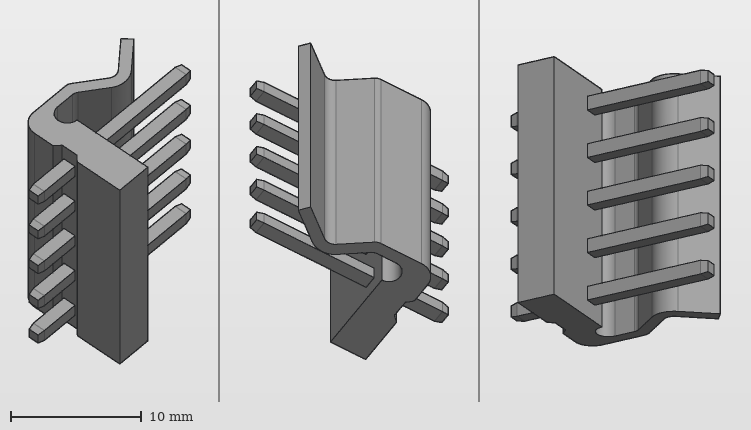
import cadquery as cq
import math


pin_count = 5
pitch = 3.96
height = pin_count * pitch
base_depth = 3.2
base_right = 5.62
corner_radius = 1.53

groove_depth = 0.5
groove_floor_half_width = 0.77
groove_mouth_half_width = 1.25

latch_thickness = 1.0
wall_center_x = -4.16
elbow = (wall_center_x, 5.33)
knee = (-1.70, 8.6)
tip = (-4.40, 11.99)
elbow_radius = 0.8
knee_inner_radius = 0.86
knee_outer_radius = knee_inner_radius + latch_thickness
root_radius = 1.0

pin_width = 1.14
pin_front = -3.6
pin_back = 13.8
pin_tip_width = 0.92
pin_tip_length = 0.6


def direction(start, end):
    """Unit vector from start to end."""
    return (cq.Vector(*end) - cq.Vector(*start)).normalized()


def left_normal(vector):
    """The vector turned a quarter turn to the left."""
    return cq.Vector(-vector.y, vector.x)


def mitre(before, point, after, offset):
    """Corner of the strip edge that runs at the given offset left of a bent centreline."""
    normal_in = left_normal(direction(before, point))
    normal_out = left_normal(direction(point, after))
    shift = (normal_in + normal_out) * (offset / (1 + normal_in.dot(normal_out)))
    return (point[0] + shift.x, point[1] + shift.y)


def rounded_outline(corners):
    """Closed wire through (point, radius) corners; a zero radius leaves the corner sharp."""
    outline = cq.Workplane("XY").moveTo(*corners[0][0])
    for index in range(1, len(corners)):
        point, radius = corners[index]
        if radius == 0:
            outline = outline.lineTo(*point)
            continue
        vertex = cq.Vector(*point)
        to_before = direction(point, corners[index - 1][0])
        to_after = direction(point, corners[(index + 1) % len(corners)][0])
        half_angle = to_before.getAngle(to_after) / 2
        tangent_length = radius / math.tan(half_angle)
        bisector = (to_before + to_after).normalized()
        arc_start = vertex + to_before * tangent_length
        arc_middle = vertex + bisector * (radius / math.sin(half_angle) - radius)
        arc_end = vertex + to_after * tangent_length
        outline = outline.lineTo(arc_start.x, arc_start.y)
        outline = outline.threePointArc((arc_middle.x, arc_middle.y), (arc_end.x, arc_end.y))
    return outline.close()


def make_housing():
    """Base block and latch as one extruded profile, with the round relief at the latch root."""
    half = latch_thickness / 2
    wall_outer_x = wall_center_x - half
    wall_inner_x = wall_center_x + half
    wall_foot = (wall_center_x, 0)
    tip_shift = left_normal(direction(knee, tip)) * half
    corners = [
        ((base_right, 0), 0),
        ((groove_mouth_half_width, 0), 0),
        ((groove_floor_half_width, groove_depth), 0),
        ((-groove_floor_half_width, groove_depth), 0),
        ((-groove_mouth_half_width, 0), 0),
        ((wall_outer_x, 0), corner_radius),
        (mitre(wall_foot, elbow, knee, half), elbow_radius),
        (mitre(elbow, knee, tip, half), knee_inner_radius),
        ((tip[0] + tip_shift.x, tip[1] + tip_shift.y), 0),
        ((tip[0] - tip_shift.x, tip[1] - tip_shift.y), 0),
        (mitre(elbow, knee, tip, -half), knee_outer_radius),
        (mitre(wall_foot, elbow, knee, -half), elbow_radius),
        ((wall_inner_x, base_depth), 0),
        ((base_right, base_depth), 0),
    ]
    housing = rounded_outline(corners).extrude(height)
    root_relief = (
        cq.Workplane("XY")
        .center(wall_inner_x + root_radius, base_depth)
        .circle(root_radius)
        .extrude(height)
    )
    return housing.cut(root_relief)


def make_pin_tip(root_y, outward):
    """Tapered pin end that starts at root_y and points along Y by the sign of outward."""
    return (
        cq.Workplane("XZ", origin=(0, root_y, 0))
        .rect(pin_width, pin_width)
        .workplane(offset=-outward * pin_tip_length)
        .rect(pin_tip_width, pin_tip_width)
        .loft(ruled=True)
    )


def make_pin():
    """Square pin along Y, centred on the Y axis, tapered at both ends."""
    shank_front = pin_front + pin_tip_length
    shank_back = pin_back - pin_tip_length
    shank = cq.Workplane("XY").box(
        pin_width, shank_back - shank_front, pin_width, centered=(True, False, True)
    )
    shank = shank.translate((0, shank_front, 0))
    return shank.union(make_pin_tip(shank_front, -1)).union(make_pin_tip(shank_back, 1))


result = make_housing()
pin = make_pin()
for pin_index in range(pin_count):
    pin_z = (pin_index + 0.5) * pitch
    result = result.union(pin.translate((0, 0, pin_z)))